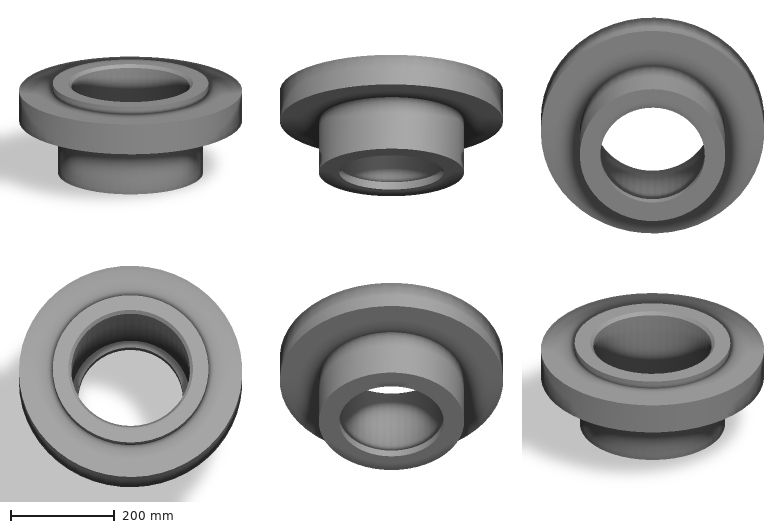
import cadquery as cq

hub_height = 105.0
flange_height = 60.0
raised_face_height = 15.0
total_height = hub_height + flange_height + raised_face_height

hub_diameter = 280.0
flange_diameter = 430.0
raised_face_diameter = 299.5

lip_diameter = 201.2
lip_height = 15.0
bore_diameter = 228.5
mouth_diameter = 240.0
mouth_chamfer = (mouth_diameter - bore_diameter) / 2


def cylinder(diameter, bottom, height):
    """Upright cylinder on the Z axis."""
    return cq.Workplane("XY").workplane(offset=bottom).circle(diameter / 2).extrude(height)


hub = cylinder(hub_diameter, 0, hub_height)
flange = cylinder(flange_diameter, hub_height, flange_height)
raised_face = cylinder(raised_face_diameter, hub_height + flange_height, raised_face_height)
body = hub.union(flange).union(raised_face)

body = body.cut(cylinder(lip_diameter, 0, total_height))
body = body.cut(cylinder(bore_diameter, lip_height, total_height - lip_height))

mouth_edge = cq.selectors.RadiusNthSelector(0)
result = body.faces(">Z").edges(mouth_edge).chamfer(mouth_chamfer)